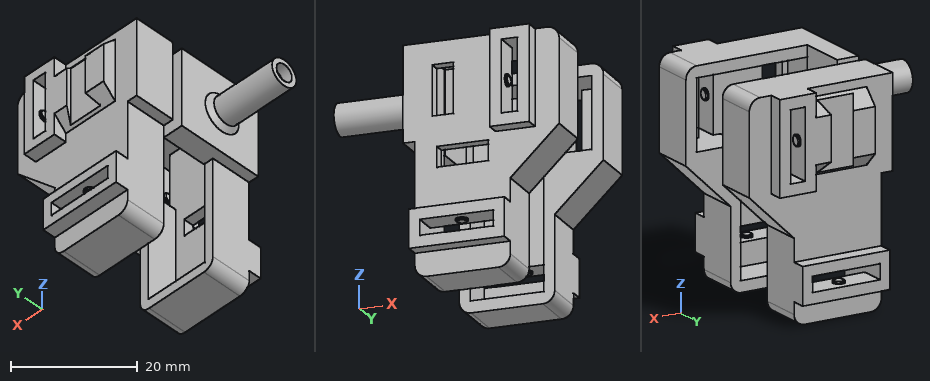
import cadquery as cq


frame_height = 2.6
shell_depth = 8.1
arm_length = 9.0
gap = 2.0
front_plate_y = frame_height
front_mouth_y = front_plate_y + shell_depth
back_mouth_y = front_mouth_y + arm_length + gap
back_plate_y = back_mouth_y + shell_depth
back_outer_y = back_plate_y + frame_height

wall = 2.0
leg_wall = 1.85
shell_width = 26.5
shell_height = 39.05
head_height = 16.35
leg_left = 2.0
leg_width = 16.22
leg_right = leg_left + leg_width
slope_end_z = -24.4
corner_radius = 2.0

slot_width = 2.65
head_frame_left = 15.75
head_frame_width = slot_width + 2 * wall
head_slot_length = head_height - 2 * wall
leg_frame_height = 6.58
leg_frame_center_z = -31.7
leg_slot_length = leg_width - 2 * leg_wall
head_frame_center = (head_frame_left + head_frame_width / 2, -head_height / 2)
leg_frame_center = (leg_left + leg_width / 2, leg_frame_center_z)

stud_diameter = 2.0
stud_tip_diameter = 1.6
stud_base_height = 0.2
stud_taper_height = 0.2
stud_offset = (frame_height + wall) / 2

head_window_center = (6.8, -8.15)
head_window_size = (3.65, 8.55)
leg_window_center = (10.15, -19.35)
leg_window_size = (8.75, 3.47)

arm_thickness = 2 * wall
rod_diameter = 5.5
rod_length = 13.85
collar_diameter = 7.5
collar_length = 0.93
bore_diameter = 3.47
bore_depth = 2.0
rod_z = -head_height / 2

rail_left = 4.8
rail_top_z = -1.55
rail_bottom_z = -14.53
groove_center_x = 10.9
groove_mouth_width = 4.15
groove_floor_width = 6.65
groove_depth = 2.1


def box(x_range, y_range, z_range):
    """Box between two limits on each axis."""
    size = [high - low for low, high in (x_range, y_range, z_range)]
    corner = (x_range[0], y_range[0], z_range[0])
    return cq.Workplane("XY").box(*size, centered=False).translate(corner)


def block_at(center, size, y_range):
    """Box with its XZ center and size given, between two limits along Y."""
    x_range = (center[0] - size[0] / 2, center[0] + size[0] / 2)
    z_range = (center[1] - size[1] / 2, center[1] + size[1] / 2)
    return box(x_range, y_range, z_range)


def shell_block(y_start):
    """Solid block with the shell's outline, three of its corners rounded."""
    outline = [
        (0, 0),
        (shell_width, 0),
        (shell_width, -head_height),
        (leg_right, slope_end_z),
        (leg_right, -shell_height),
        (leg_left, -shell_height),
        (leg_left, -head_height),
        (0, -head_height),
    ]
    block = cq.Workplane("XZ").polyline(outline).close().extrude(-shell_depth)
    rounded = block.edges("|Y").edges("<Z or (>X and >Z)").fillet(corner_radius)
    return rounded.translate((0, y_start, 0))


def cavity(head_left, y_range):
    """L-shaped hollow: one box in the head and one in the leg."""
    head = box((head_left, shell_width - wall), y_range, (wall - head_height, -wall))
    leg = box((leg_left + leg_wall, leg_right - leg_wall), y_range, (wall - shell_height, -wall))
    return head.union(leg)


def frames(y_range):
    """Raised frames on the head and the leg, without their slots."""
    head = block_at(head_frame_center, (head_frame_width, head_height), y_range)
    leg = block_at(leg_frame_center, (leg_width, leg_frame_height), y_range)
    return head.union(leg)


def slots(y_range):
    """Slots through both frames and the plate behind them."""
    head = block_at(head_frame_center, (slot_width, head_slot_length), y_range)
    leg = block_at(leg_frame_center, (leg_slot_length, slot_width), y_range)
    return head.union(leg)


def stud(base, direction):
    """Round stud with a tapered tip, standing on a slot wall."""
    base_point = cq.Vector(*base)
    axis = cq.Vector(*direction)
    disc = cq.Solid.makeCylinder(stud_diameter / 2, stud_base_height, base_point, axis)
    tip = cq.Solid.makeCone(
        stud_diameter / 2,
        stud_tip_diameter / 2,
        stud_taper_height,
        base_point + axis * stud_base_height,
        axis,
    )
    return cq.Workplane(obj=disc).union(cq.Workplane(obj=tip))


def add_studs(body, y):
    """Add a facing pair of studs in the middle of each slot."""
    head_x, head_z = head_frame_center
    leg_x, leg_z = leg_frame_center
    for side in (-1, 1):
        wall_offset = side * slot_width / 2
        body = body.union(stud((head_x + wall_offset, y, head_z), (-side, 0, 0)))
        body = body.union(stud((leg_x, y, leg_z + wall_offset), (0, 0, -side)))
    return body


def windows():
    """Cutters for the two windows in the front plate."""
    y_range = (front_plate_y, front_plate_y + wall)
    head = block_at(head_window_center, head_window_size, y_range)
    leg = block_at(leg_window_center, leg_window_size, y_range)
    return head.union(leg)


def rod():
    """Rod on the arm, with a conical collar at its root and a blind bore in its end."""
    profile = [
        (0, 0),
        (-rod_length, 0),
        (-rod_length, rod_diameter / 2),
        (-collar_length, rod_diameter / 2),
        (0, collar_diameter / 2),
    ]
    turned = cq.Workplane("XY").polyline(profile).close().revolve(360, (0, 0), (1, 0))
    bore = cq.Workplane("YZ", origin=(-rod_length, 0, 0)).circle(bore_diameter / 2).extrude(bore_depth)
    return turned.cut(bore).translate((0, front_mouth_y, rod_z))


def rail():
    """Block with 45 degree ends and a dovetail groove along Z."""
    profile = [
        (back_plate_y, rail_top_z),
        (back_outer_y, rail_top_z - frame_height),
        (back_outer_y, rail_bottom_z + frame_height),
        (back_plate_y, rail_bottom_z),
    ]
    block = (
        cq.Workplane("YZ", origin=(rail_left, 0, 0))
        .polyline(profile)
        .close()
        .extrude(head_frame_left - rail_left)
    )
    groove_floor_y = back_outer_y - groove_depth
    groove_profile = [
        (groove_center_x - groove_mouth_width / 2, back_outer_y),
        (groove_center_x + groove_mouth_width / 2, back_outer_y),
        (groove_center_x + groove_floor_width / 2, groove_floor_y),
        (groove_center_x - groove_floor_width / 2, groove_floor_y),
    ]
    groove = cq.Workplane("XY").polyline(groove_profile).close().extrude(-head_height)
    return block.cut(groove)


def make_front_shell():
    """Front shell: open toward +Y, with windows, an arm and a rod."""
    arm = box((0, arm_thickness), (front_mouth_y, front_mouth_y + arm_length), (-head_height, 0))
    body = shell_block(front_plate_y).union(frames((0, front_plate_y)))
    body = body.cut(cavity(arm_thickness, (front_plate_y + wall, front_mouth_y)))
    body = body.cut(slots((0, front_plate_y + wall))).cut(windows())
    body = body.union(arm).union(rod())
    return add_studs(body, stud_offset)


def make_back_shell():
    """Back shell: open toward -Y, with a dovetail rail beside its head frame."""
    body = shell_block(back_mouth_y).union(frames((back_plate_y, back_outer_y)))
    body = body.cut(cavity(wall, (back_mouth_y, back_plate_y - wall)))
    body = body.cut(slots((back_plate_y - wall, back_outer_y))).union(rail())
    return add_studs(body, back_outer_y - stud_offset)


front_shell = make_front_shell()
back_shell = make_back_shell()
result = cq.Compound.makeCompound([front_shell.val(), back_shell.val()])